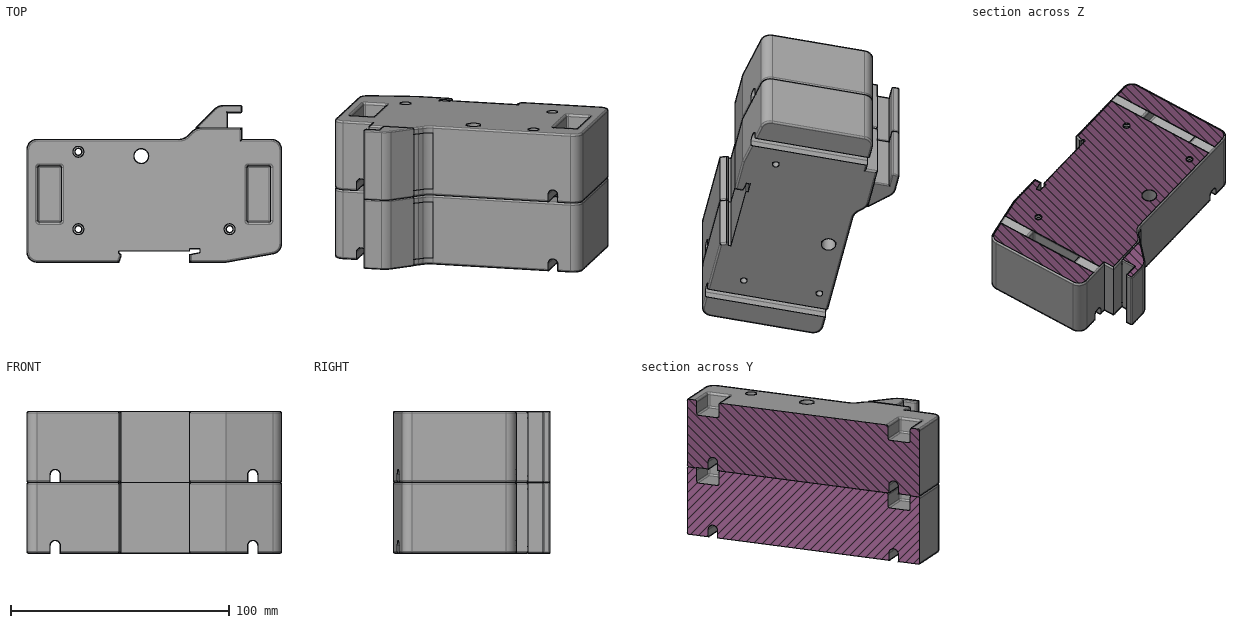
import cadquery as cq
import math

LENGTH = 116.6
TOTAL_DEPTH = 71.8
TOTAL_HEIGHT = 65.0
MODULE_COUNT = 2
MODULE_HEIGHT = TOTAL_HEIGHT / MODULE_COUNT

BACK_Y = 56.3
STEP_Y = 61.6
STEP_RIGHT_X = 98.4
RAMP_FOOT_X = 72.1
RAMP_RADIUS = 6.0
CORNER_RADIUS = 4.7
SLANT_START_X = 91.2
SLANT_END_Y = 4.5
EDGE_RADIUS = 0.8

RECESS_LEFT_X = 42.1
RECESS_TOP_Y = 5.1
TOOTH_TIP_X = 43.1
TOOTH_ROOT_Y = 4.1
LIP_Y = 3.5
TOOTH_LOW_Y = 2.8
LEDGE_X = 74.5
UNDERCUT_RIGHT_X = 79.2
UNDERCUT_TOP_Y = 6.2
UNDERCUT_LOW_Y = 4.4

POCKET_LENGTH_X = 12.8
POCKET_LENGTH_Y = 27.8
POCKET_CENTER_Y = 31.3
POCKET_CENTERS_X = (10.4, 106.2)
POCKET_DEPTH = 7.1
POCKET_CORNER_RADIUS = 0.7
POCKET_EDGE_RADIUS = 1.0

SCREW_LEFT_X = 23.5
SCREW_RIGHT_X = 92.8
SCREW_FRONT_Y = 15.2
SCREW_BACK_Y = 50.6
SCREW_CENTERS = (
    (SCREW_LEFT_X, SCREW_FRONT_Y),
    (SCREW_LEFT_X, SCREW_BACK_Y),
    (SCREW_RIGHT_X, SCREW_FRONT_Y),
)
SCREW_HOLE_DIAMETER = 3.0
SCREW_BORE_DIAMETER = 5.0
SCREW_BORE_DEPTH = 2.0
PIVOT_CENTER = (52.4, 48.6)
PIVOT_DIAMETER = 6.6

SLOT_CENTERS_X = (13.0, 103.4)
SLOT_WIDTH = 4.5
SLOT_HEIGHT = 5.8

STEM_RIGHT_X = 91.9
PRONG_LOW_Y = 68.5
HOOK_EDGE_RADIUS = 0.5
PRONG_CORNER_RADIUS = 0.7
TONGUE_FLOOR_Y = 52.5
TONGUE_INSET = 3.0

PICK_REACH = 0.1

RAMP_ANGLE = 45
BEND_TANGENT = RAMP_RADIUS * math.tan(math.radians(RAMP_ANGLE / 2))
STEP_CORNER_X = RAMP_FOOT_X + STEP_Y - BACK_Y
HOOK_CORNER_X = RAMP_FOOT_X + TOTAL_DEPTH - BACK_Y
RAMP_START_X = RAMP_FOOT_X - BEND_TANGENT


def vertical_edges_at(points):
    """Selector for the vertical edges that stand on the given XY points."""
    selector = None
    for x, y in points:
        box = cq.selectors.BoxSelector(
            (x - PICK_REACH, y - PICK_REACH, 0), (x + PICK_REACH, y + PICK_REACH, MODULE_HEIGHT)
        )
        selector = box if selector is None else selector + box
    return selector


def round_vertical_edges(body, points, radius):
    """Round the full-height edges that stand on the given XY points."""
    return body.edges(vertical_edges_at(points)).fillet(radius)


def housing_blank():
    """Outer shape with a rounded rim, before the openings are cut."""
    corners = ((0, 0), (0, BACK_Y), (LENGTH, BACK_Y), (LENGTH, SLANT_END_Y))
    ramp_bends = ((RAMP_FOOT_X, BACK_Y), (STEP_CORNER_X, STEP_Y))
    outline = [
        (0, 0),
        (0, BACK_Y),
        (RAMP_FOOT_X, BACK_Y),
        (STEP_CORNER_X, STEP_Y),
        (STEP_RIGHT_X, STEP_Y),
        (STEP_RIGHT_X, BACK_Y),
        (LENGTH, BACK_Y),
        (LENGTH, SLANT_END_Y),
        (SLANT_START_X, 0),
        (LEDGE_X, 0),
        (LEDGE_X, LIP_Y),
        (TOOTH_TIP_X, LIP_Y),
        (TOOTH_TIP_X, TOOTH_LOW_Y),
        (RECESS_LEFT_X, 0),
    ]
    body = cq.Workplane("XY").polyline(outline).close().extrude(MODULE_HEIGHT)
    body = round_vertical_edges(body, corners, CORNER_RADIUS)
    body = round_vertical_edges(body, ramp_bends, RAMP_RADIUS)
    return body.faces("|Z").edges().fillet(EDGE_RADIUS)


def rail_recess():
    """Sharp-edged upper part of the rail recess, with the undercut behind the ledge."""
    outline = [
        (RECESS_LEFT_X, RECESS_TOP_Y),
        (LEDGE_X, RECESS_TOP_Y),
        (LEDGE_X, UNDERCUT_TOP_Y),
        (UNDERCUT_RIGHT_X, UNDERCUT_TOP_Y),
        (UNDERCUT_RIGHT_X, UNDERCUT_LOW_Y),
        (LEDGE_X, LIP_Y),
        (TOOTH_TIP_X, LIP_Y),
        (RECESS_LEFT_X, TOOTH_ROOT_Y),
    ]
    return cq.Workplane("XY").polyline(outline).close().extrude(MODULE_HEIGHT)


def cut_grip_pocket(body, center_x):
    """Pocket in the top face with rounded corners, floor and rim."""
    wall_x = POCKET_LENGTH_X - 2 * POCKET_EDGE_RADIUS
    wall_y = POCKET_LENGTH_Y - 2 * POCKET_EDGE_RADIUS
    floor_z = MODULE_HEIGHT - POCKET_DEPTH
    pocket = (
        cq.Workplane("XY", origin=(center_x, POCKET_CENTER_Y, floor_z))
        .rect(wall_x, wall_y)
        .extrude(POCKET_DEPTH)
        .edges("|Z")
        .fillet(POCKET_CORNER_RADIUS)
        .faces("<Z")
        .edges()
        .fillet(POCKET_CORNER_RADIUS)
    )
    half_x = POCKET_LENGTH_X / 2
    half_y = POCKET_LENGTH_Y / 2
    rim = cq.selectors.BoxSelector(
        (center_x - half_x, POCKET_CENTER_Y - half_y, MODULE_HEIGHT - PICK_REACH),
        (center_x + half_x, POCKET_CENTER_Y + half_y, MODULE_HEIGHT + PICK_REACH),
    )
    return body.cut(pocket).edges(rim).fillet(POCKET_EDGE_RADIUS)


def cut_holes(body):
    """Counterbored screw holes and the plain pivot hole."""
    top = cq.Workplane("XY", origin=(0, 0, MODULE_HEIGHT))
    screw_holes = top.pushPoints(SCREW_CENTERS).circle(SCREW_HOLE_DIAMETER / 2).extrude(-MODULE_HEIGHT)
    screw_bores = top.pushPoints(SCREW_CENTERS).circle(SCREW_BORE_DIAMETER / 2).extrude(-SCREW_BORE_DEPTH)
    pivot_hole = top.pushPoints([PIVOT_CENTER]).circle(PIVOT_DIAMETER / 2).extrude(-MODULE_HEIGHT)
    return body.cut(screw_holes).cut(screw_bores).cut(pivot_hole)


def cable_slot(center_x):
    """Round-topped slot through the full depth of the underside."""
    radius = SLOT_WIDTH / 2
    shoulder_z = SLOT_HEIGHT - radius
    return (
        cq.Workplane("XZ")
        .moveTo(center_x - radius, 0)
        .lineTo(center_x - radius, shoulder_z)
        .threePointArc((center_x, SLOT_HEIGHT), (center_x + radius, shoulder_z))
        .lineTo(center_x + radius, 0)
        .close()
        .extrude(-TOTAL_DEPTH)
    )


def tongue_envelope():
    """Box under the step that bounds the tongue and its socket."""
    width = STEM_RIGHT_X - RAMP_START_X
    depth = STEP_Y - TONGUE_FLOOR_Y
    height = MODULE_HEIGHT - 2 * TONGUE_INSET
    corner = (RAMP_START_X, TONGUE_FLOOR_Y, TONGUE_INSET)
    return cq.Workplane("XY", origin=corner).box(width, depth, height, centered=False)


def make_housing(base_z):
    """One housing with all its openings, standing at the given height."""
    housing = housing_blank().cut(rail_recess())
    for center_x in POCKET_CENTERS_X:
        housing = cut_grip_pocket(housing, center_x)
    housing = cut_holes(housing)
    for center_x in SLOT_CENTERS_X:
        housing = housing.cut(cable_slot(center_x))
    housing = housing.cut(tongue_envelope())
    return housing.translate((0, 0, base_z))


def make_hook(base_z):
    """Hook standing on the housing step, held by its tongue."""
    outline = [
        (STEP_CORNER_X, STEP_Y),
        (HOOK_CORNER_X, TOTAL_DEPTH),
        (STEP_RIGHT_X, TOTAL_DEPTH),
        (STEP_RIGHT_X, PRONG_LOW_Y),
        (STEM_RIGHT_X, PRONG_LOW_Y),
        (STEM_RIGHT_X, STEP_Y),
    ]
    prong_corners = ((STEP_RIGHT_X, TOTAL_DEPTH), (STEP_RIGHT_X, PRONG_LOW_Y))
    hook = cq.Workplane("XY").polyline(outline).close().extrude(MODULE_HEIGHT)
    hook = round_vertical_edges(hook, [(HOOK_CORNER_X, TOTAL_DEPTH)], RAMP_RADIUS)
    hook = round_vertical_edges(hook, prong_corners, PRONG_CORNER_RADIUS)
    end_edges = cq.selectors.StringSyntaxSelector("#Z")
    foot_edges = cq.selectors.BoxSelector(
        (0, STEP_Y - PICK_REACH, -PICK_REACH),
        (LENGTH, STEP_Y + PICK_REACH, MODULE_HEIGHT + PICK_REACH),
    )
    hook = hook.edges(end_edges - foot_edges).fillet(HOOK_EDGE_RADIUS)
    tongue = housing_blank().intersect(tongue_envelope())
    return hook.union(tongue).translate((0, 0, base_z))


base_heights = [index * MODULE_HEIGHT for index in range(MODULE_COUNT)]
housings = [make_housing(base_z) for base_z in base_heights]
hooks = [make_hook(base_z) for base_z in base_heights]
result = cq.Compound.makeCompound([body.val() for body in housings + hooks])